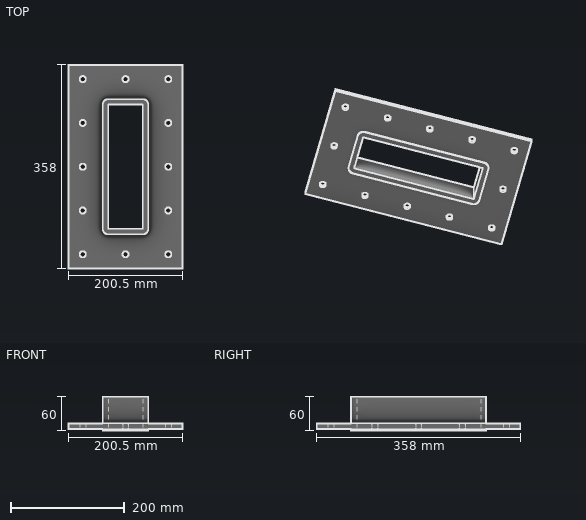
import cadquery as cq

plate_width = 200.5
plate_length = 358.0
plate_thickness = 10.0

tube_width = 80.2
tube_length = 238.0
tube_height = 60.0
tube_wall = 10.0
tube_corner_radius = 10.0
tube_protrusion = 3.0

hole_diameter = 10.5
hole_edge_distance = 25.0
holes_per_long_side = 5


def bolt_positions():
    """Evenly spaced holes along both long sides, plus one mid-way on each short side."""
    x_offset = plate_width / 2 - hole_edge_distance
    y_offset = plate_length / 2 - hole_edge_distance
    pitch = 2 * y_offset / (holes_per_long_side - 1)
    positions = [(0, -y_offset), (0, y_offset)]
    for index in range(holes_per_long_side):
        y = -y_offset + index * pitch
        positions += [(-x_offset, y), (x_offset, y)]
    return positions


plate = (
    cq.Workplane("XY")
    .rect(plate_width, plate_length)
    .extrude(plate_thickness)
)

bolt_holes = (
    cq.Workplane("XY")
    .pushPoints(bolt_positions())
    .circle(hole_diameter / 2)
    .extrude(plate_thickness)
)

tube_base = cq.Workplane("XY").workplane(offset=-tube_protrusion)

tube_body = (
    tube_base.rect(tube_width, tube_length)
    .extrude(tube_height)
    .edges("|Z")
    .fillet(tube_corner_radius)
)

tube_opening = (
    tube_base.rect(tube_width - 2 * tube_wall, tube_length - 2 * tube_wall)
    .extrude(tube_height)
)

result = plate.cut(bolt_holes).union(tube_body).cut(tube_opening)